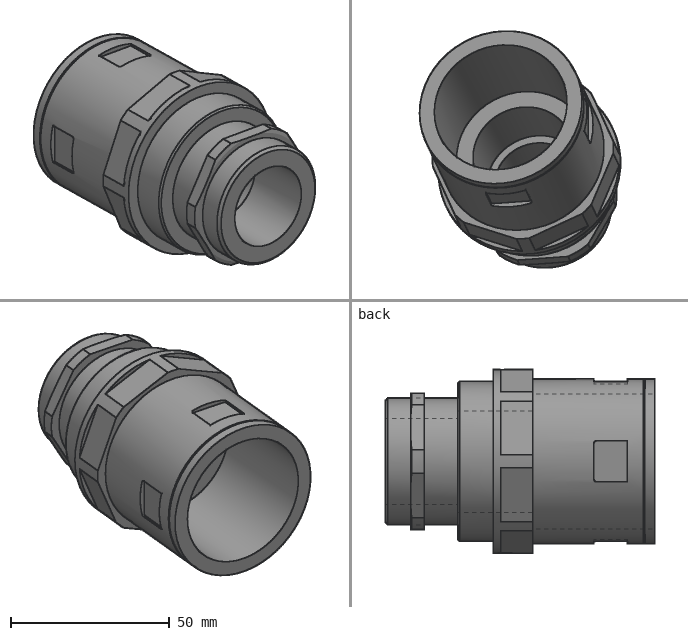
import cadquery as cq


groove_start = 3.15
groove_end = 3.65
recess_start = 8.7
recess_end = 19.2
flange_start = 38.4
flat_end = 48.5
flange_end = 51.0
collar_end = 62.05
nut_start = 72.6
nut_end = 76.9
fitting_length = 85.0

sleeve_diameter = 52.0
groove_diameter = 46.0
flange_diameter = 58.0
collar_diameter = 50.5
spigot_diameter = 40.0
collar_chamfer = 0.6
spigot_chamfer = 0.9

socket_diameter = 42.5
counterbore_diameter = 32.0
bore_diameter = 27.0

flange_flat_count = 8
flange_across_flats = 55.0

recess_count = 4
recess_width = 12.9
recess_floor_radius = 24.5
recess_corner_radius = 0.8

nut_flat_count = 6
nut_across_flats = 43.0
nut_diameter = 46.0
nut_face_diameter = 43.35
nut_chamfer_length = 0.3


def cylinder(diameter, start, end):
    """Round bar along X between two stations."""
    return cq.Workplane("YZ", origin=(start, 0, 0)).circle(diameter / 2).extrude(end - start)


def about_axis(shape, angle):
    """Copy of a shape turned about the X axis."""
    return shape.rotate((0, 0, 0), (1, 0, 0), angle)


def outside_flats(flat_count, across_flats, diameter, start, end, first_angle):
    """Blocks that trim a round bar down to evenly spaced flats; the first flat is first_angle from +Z."""
    block_height = diameter - across_flats
    block = cq.Workplane("XY").box(end - start, diameter, block_height, centered=(False, True, False))
    block = block.translate((start, 0, across_flats / 2))
    return [about_axis(block, first_angle + i * 360 / flat_count) for i in range(flat_count)]


def make_flange():
    flange = cylinder(flange_diameter, flange_start, flange_end)
    half_pitch = 180 / flange_flat_count
    for block in outside_flats(
        flange_flat_count, flange_across_flats, flange_diameter, flange_start, flat_end, half_pitch
    ):
        flange = flange.cut(block)
    return flange


def make_recess_tool():
    """Block for the +Z recess; its two corners nearer the flange are rounded."""
    length = recess_end - recess_start
    height = flange_diameter / 2 - recess_floor_radius
    tool = cq.Workplane("XY").box(length, recess_width, height, centered=(False, True, False))
    tool = tool.edges("|Z and >X").fillet(recess_corner_radius)
    return tool.translate((recess_start, 0, recess_floor_radius))


def make_sleeve():
    sleeve = cylinder(sleeve_diameter, 0, flange_start)
    groove = cylinder(sleeve_diameter, groove_start, groove_end)
    sleeve = sleeve.cut(groove.cut(cylinder(groove_diameter, groove_start, groove_end)))
    recess = make_recess_tool()
    for i in range(recess_count):
        sleeve = sleeve.cut(about_axis(recess, i * 360 / recess_count))
    return sleeve


def make_body():
    collar = cylinder(collar_diameter, flange_end, collar_end).faces(">X").chamfer(collar_chamfer)
    spigot = cylinder(spigot_diameter, collar_end, fitting_length).faces(">X").chamfer(spigot_chamfer)
    body = make_sleeve().union(make_flange()).union(collar).union(spigot)
    body = body.cut(cylinder(socket_diameter, 0, flange_start))
    body = body.cut(cylinder(counterbore_diameter, flange_start, collar_end))
    return body.cut(cylinder(bore_diameter, collar_end, fitting_length))


def make_locknut():
    """Hexagonal ring on the spigot with a flat facing +Z and its +X face chamfered."""
    chamfer_depth = (nut_diameter - nut_face_diameter) / 2
    nut = cylinder(nut_diameter, nut_start, nut_end)
    nut = nut.faces(">X").edges().chamfer(nut_chamfer_length, chamfer_depth)
    for block in outside_flats(nut_flat_count, nut_across_flats, nut_diameter, nut_start, nut_end, 0):
        nut = nut.cut(block)
    return nut.cut(cylinder(spigot_diameter, nut_start, nut_end))


body = make_body()
locknut = make_locknut()

result = cq.Compound.makeCompound([body.val(), locknut.val()])